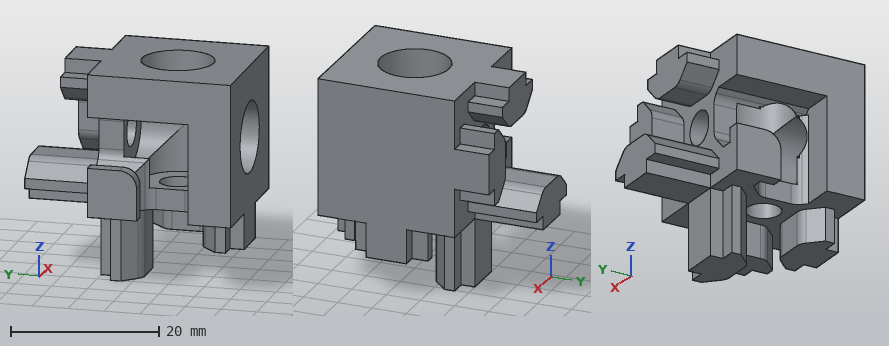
import cadquery as cq
import math


LONGEST_SIDE = 30.0
CUBE = LONGEST_SIDE * 2 / 3
MIDDLE = CUBE / 2
LONG_KEY = CUBE / 2
SHORT_KEY = CUBE / 4

KEY_DEPTH = 5.9
TAB_HALF_WIDTH = 2.95
TAB_DEPTH = 1.98
FLANGE_HALF_WIDTH = 5.28
TIP_HALF_WIDTH = 2.8

TIP_RADIUS = 1.98
FLANK_ANGLE = math.radians(45)

SLOT_DEPTH = 6.1
SLOT_TIP_HALF_WIDTH = 2.82
SLOT_LIP_HALF_WIDTH = 3.12
SLOT_LIP_DEPTH = 1.85
SLOT_CAVITY_HALF_WIDTH = FLANGE_HALF_WIDTH
SLOT_OUTER_HALF_WIDTH = 4.05
LIP_CORNER_RADIUS = 2.4

BORE_DIAMETER = CUBE / 2
HOLE_DIAMETER = CUBE / 4
Y_BORE_FLOOR = 3.5
Z_BORE_FLOOR = 3.0


def flank_start(half_width, tip_half_width, depth):
    """Depth at which a 45 degree flank leaves a side wall to reach the tip."""
    return depth - (half_width - tip_half_width)


def tip_points(tip_half_width, depth):
    """Start, middle and end of the rounded corner between the flank and the flat tip, as (side, depth)."""
    half_turn = FLANK_ANGLE / 2
    tangent = TIP_RADIUS * math.tan(half_turn)
    diagonal = math.cos(FLANK_ANGLE)
    flat_end = tip_half_width - tangent
    start = (tip_half_width + tangent * diagonal, depth - tangent * diagonal)
    middle = (flat_end + TIP_RADIUS * math.sin(half_turn), depth - TIP_RADIUS * (1 - math.cos(half_turn)))
    return start, middle, (flat_end, depth)


def mirrored(point):
    return -point[0], point[1]


def key(length):
    """T-shaped key with its outer face at y = 0, growing to +Y in depth and extruded along -Z."""
    start, middle, end = tip_points(TIP_HALF_WIDTH, KEY_DEPTH)
    flank = flank_start(FLANGE_HALF_WIDTH, TIP_HALF_WIDTH, KEY_DEPTH)
    return (
        cq.Workplane("XY")
        .moveTo(-TAB_HALF_WIDTH, 0)
        .lineTo(TAB_HALF_WIDTH, 0)
        .lineTo(TAB_HALF_WIDTH, TAB_DEPTH)
        .lineTo(FLANGE_HALF_WIDTH, TAB_DEPTH)
        .lineTo(FLANGE_HALF_WIDTH, flank)
        .lineTo(*start)
        .threePointArc(middle, end)
        .lineTo(*mirrored(end))
        .threePointArc(mirrored(middle), mirrored(start))
        .lineTo(-FLANGE_HALF_WIDTH, flank)
        .lineTo(-FLANGE_HALF_WIDTH, TAB_DEPTH)
        .lineTo(-TAB_HALF_WIDTH, TAB_DEPTH)
        .close()
        .extrude(-length)
    )


def swap_ends(shape):
    """Exchange the -Z end and the +Y end: reflect in the plane y + z = CUBE."""
    flipped = shape.mirror("XY").translate((0, 0, CUBE))
    return flipped.rotate((0, MIDDLE, MIDDLE), (1, MIDDLE, MIDDLE), -90)


def bottom_end():
    """Keys below the cube: short ones in the -Y and +X slots, a long one in the +Y slot."""
    center = (MIDDLE, MIDDLE, 0)
    axis_top = (MIDDLE, MIDDLE, 1)
    end = None
    for turn, length in ((0, SHORT_KEY), (90, SHORT_KEY), (180, LONG_KEY)):
        placed = key(length).translate((MIDDLE, 0, 0)).rotate(center, axis_top, turn)
        end = placed if end is None else end.add(placed)
    return end


def slot_leg(height):
    """Upright leg of the slot: plain outer wall towards -Y, undercut lip towards +Y."""
    start, middle, end = tip_points(SLOT_TIP_HALF_WIDTH, SLOT_DEPTH)
    outer_flank = flank_start(SLOT_OUTER_HALF_WIDTH, SLOT_TIP_HALF_WIDTH, SLOT_DEPTH)
    inner_flank = flank_start(SLOT_CAVITY_HALF_WIDTH, SLOT_TIP_HALF_WIDTH, SLOT_DEPTH)

    def outer(point):
        return point[1], MIDDLE - point[0]

    def inner(point):
        return point[1], MIDDLE + point[0]

    return (
        cq.Workplane("XY")
        .moveTo(*outer((SLOT_OUTER_HALF_WIDTH, 0)))
        .lineTo(*outer((SLOT_OUTER_HALF_WIDTH, outer_flank)))
        .lineTo(*outer(start))
        .threePointArc(outer(middle), outer(end))
        .lineTo(*inner(end))
        .threePointArc(inner(middle), inner(start))
        .lineTo(*inner((SLOT_CAVITY_HALF_WIDTH, inner_flank)))
        .lineTo(*inner((SLOT_CAVITY_HALF_WIDTH, SLOT_LIP_DEPTH)))
        .lineTo(*inner((SLOT_LIP_HALF_WIDTH, SLOT_LIP_DEPTH)))
        .lineTo(*inner((SLOT_LIP_HALF_WIDTH, 0)))
        .close()
        .extrude(height)
    )


def screw_bore(floor):
    """Vertical bore from the top face down to the floor, with a through hole below it."""
    bore = cq.Workplane("XY", origin=(MIDDLE, MIDDLE, floor)).circle(BORE_DIAMETER / 2).extrude(CUBE - floor)
    hole = cq.Workplane("XY", origin=(MIDDLE, MIDDLE, 0)).circle(HOLE_DIAMETER / 2).extrude(floor)
    return bore.union(hole)


cube = cq.Workplane("XY").box(CUBE, CUBE, CUBE, centered=False)

slot_reach = MIDDLE + SLOT_LIP_HALF_WIDTH
upright_slot = slot_leg(slot_reach)
level_slot = swap_ends(upright_slot)
cube = cube.cut(upright_slot).cut(level_slot)

above_upright = cq.Workplane("XY", origin=(0, 0, slot_reach)).box(CUBE, CUBE, CUBE, centered=False)
long_level_slot = swap_ends(slot_leg(MIDDLE + SLOT_OUTER_HALF_WIDTH))
cube = cube.cut(long_level_slot.intersect(above_upright))

lip_corner = (SLOT_LIP_DEPTH / 2, MIDDLE + SLOT_LIP_HALF_WIDTH, MIDDLE - SLOT_LIP_HALF_WIDTH)
nearest_lip_corner = cq.selectors.NearestToPointSelector(lip_corner)
cube = cube.edges("|X").edges(nearest_lip_corner).fillet(LIP_CORNER_RADIUS)

cube = cube.cut(screw_bore(Z_BORE_FLOOR)).cut(swap_ends(screw_bore(Y_BORE_FLOOR)))

result = cube.union(bottom_end()).union(swap_ends(bottom_end()))